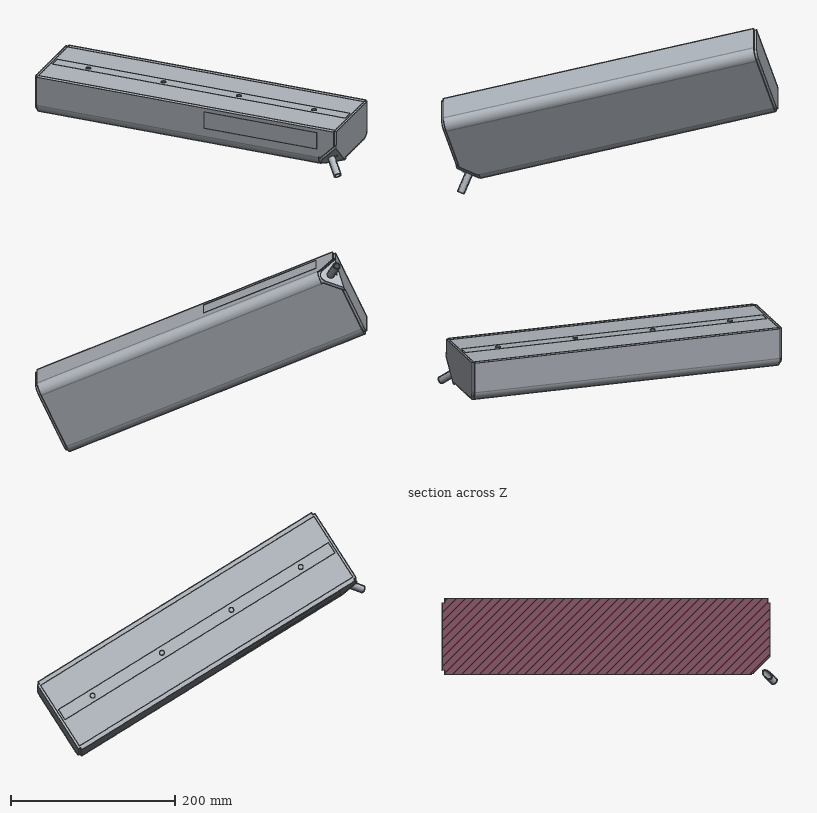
import cadquery as cq

LENGTH = 400.0
WIDTH = 100.0
HEIGHT = 50.0
CORNER_RADIUS = 12.0

SHELL_THICKNESS = 3.0
CORNER_CAP_STEP = 1.0

FLAT_LEG = 29.0
SHELL_CUT_LEG = 32.3
SHELL_CUT_KINK = 9.5

CABLE_DIAMETER = 9.0
CABLE_BORE = 6.6
CABLE_LENGTH = 31.0
CABLE_BORE_DEPTH = 30.0
CABLE_TIP_OFFSET = 4.92
CABLE_AXIS = cq.Vector(1, -1, -1)

SEAM_DEPTH = 0.1
LID_SIDE_MARGIN = 5.5
RAIL_WIDTH = 15.0
RAIL_MARGIN = 5.5
PANEL_LENGTH = 150.0
PANEL_HEIGHT = 22.0
PANEL_START = 225.0
PANEL_TOP_MARGIN = 5.0

HOLE_DIAMETER = 6.0
HOLE_DEPTH = 2.0
HOLE_COUNT = 4
HOLE_PITCH = LENGTH / HOLE_COUNT

CORNER = cq.Vector(LENGTH, -WIDTH / 2, 0)


def rounded_bar(start, end, inset):
    """Bar along X with a flat top, inset from the sides and bottom, with rounded lower edges."""
    return (
        cq.Workplane("XY", origin=(start, 0, inset))
        .box(end - start, WIDTH - 2 * inset, HEIGHT - inset, centered=(False, True, False))
        .edges("|X and <Z")
        .fillet(CORNER_RADIUS - inset)
    )


def diagonal_plane(point):
    """Plane through the point whose normal points out along the corner diagonal."""
    return cq.Plane(origin=point.toTuple(), xDir=(1, 1, 0), normal=CABLE_AXIS.toTuple())


def make_corner_region():
    """Corner space left open by the shell, bounded on both faces by 45 degree lines."""
    region_start = SHELL_CUT_KINK - SHELL_CUT_LEG
    outline = [
        (region_start, 0),
        (region_start, SHELL_CUT_KINK),
        (0, SHELL_CUT_LEG),
        (0, 0),
    ]
    front = cq.Workplane("XZ", origin=CORNER.toTuple()).polyline(outline).close().extrude(-CORNER_RADIUS)
    bottom = cq.Workplane("XY", origin=CORNER.toTuple()).polyline(outline).close().extrude(CORNER_RADIUS)
    return front.union(bottom)


def make_housing():
    """Shell, full-length core whose ends form the end caps, and corner cap with its flat."""
    corner_region = make_corner_region()
    shell = rounded_bar(SHELL_THICKNESS, LENGTH - SHELL_THICKNESS, 0).cut(corner_region)
    core = rounded_bar(0, LENGTH, SHELL_THICKNESS)
    corner_cap = rounded_bar(0, LENGTH, CORNER_CAP_STEP).intersect(corner_region)
    outside_flat = (
        cq.Workplane(diagonal_plane(CORNER - CABLE_AXIS * (FLAT_LEG / 3)))
        .rect(4 * FLAT_LEG, 4 * FLAT_LEG)
        .extrude(FLAT_LEG)
    )
    return shell.union(core.union(corner_cap).cut(outside_flat))


def cable_cylinder(diameter, length):
    """Cylinder running from the cable tip back into the corner."""
    tip = CORNER + CABLE_AXIS * CABLE_TIP_OFFSET
    return cq.Workplane(diagonal_plane(tip)).circle(diameter / 2).extrude(-length)


def make_lid_recess():
    return (
        cq.Workplane("XY", origin=(SHELL_THICKNESS, 0, HEIGHT - SEAM_DEPTH))
        .box(
            LENGTH - 2 * SHELL_THICKNESS,
            WIDTH - 2 * LID_SIDE_MARGIN,
            SEAM_DEPTH,
            centered=(False, True, False),
        )
    )


def make_rail_recess():
    """Rail face, set one seam depth below the lid."""
    return (
        cq.Workplane("XY", origin=(RAIL_MARGIN, 0, HEIGHT - 2 * SEAM_DEPTH))
        .box(LENGTH - 2 * RAIL_MARGIN, RAIL_WIDTH, 2 * SEAM_DEPTH, centered=(False, True, False))
    )


def make_panel_recess():
    return (
        cq.Workplane("XY", origin=(PANEL_START, -WIDTH / 2, HEIGHT - PANEL_TOP_MARGIN - PANEL_HEIGHT))
        .box(PANEL_LENGTH, SEAM_DEPTH, PANEL_HEIGHT, centered=False)
    )


def make_mounting_holes():
    points = [(HOLE_PITCH * (index + 0.5), 0) for index in range(HOLE_COUNT)]
    return (
        cq.Workplane("XY", origin=(0, 0, HEIGHT))
        .pushPoints(points)
        .circle(HOLE_DIAMETER / 2)
        .extrude(-HOLE_DEPTH)
    )


result = (
    make_housing()
    .union(cable_cylinder(CABLE_DIAMETER, CABLE_LENGTH))
    .cut(cable_cylinder(CABLE_BORE, CABLE_BORE_DEPTH))
    .cut(make_lid_recess())
    .cut(make_rail_recess())
    .cut(make_panel_recess())
    .cut(make_mounting_holes())
)